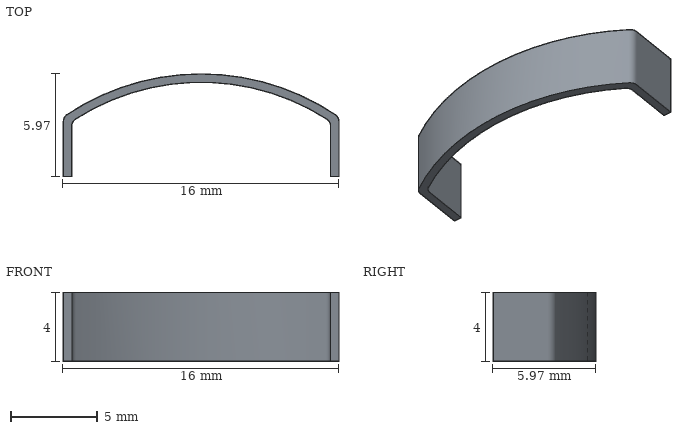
import cadquery as cq
import math

width = 16.0
depth = 5.97
height = 4.0
wall = 0.5

bow_radius = 14.0
outer_bend_radius = 0.5
inner_bend_radius = 0.5

bow_center_y = depth - bow_radius


def bowed_block(half_width, radius, bend_radius):
    """Solid block with straight sides, a bowed back and rounded back corners."""
    corner_y = bow_center_y + math.sqrt(radius**2 - half_width**2)
    block = (
        cq.Workplane("XY")
        .moveTo(-half_width, 0)
        .lineTo(-half_width, corner_y)
        .threePointArc((0, bow_center_y + radius), (half_width, corner_y))
        .lineTo(half_width, 0)
        .close()
        .extrude(height)
    )
    return block.edges("|Z").edges(">Y").fillet(bend_radius)


outer = bowed_block(width / 2, bow_radius, outer_bend_radius)
inner = bowed_block(width / 2 - wall, bow_radius - wall, inner_bend_radius)
result = outer.cut(inner)